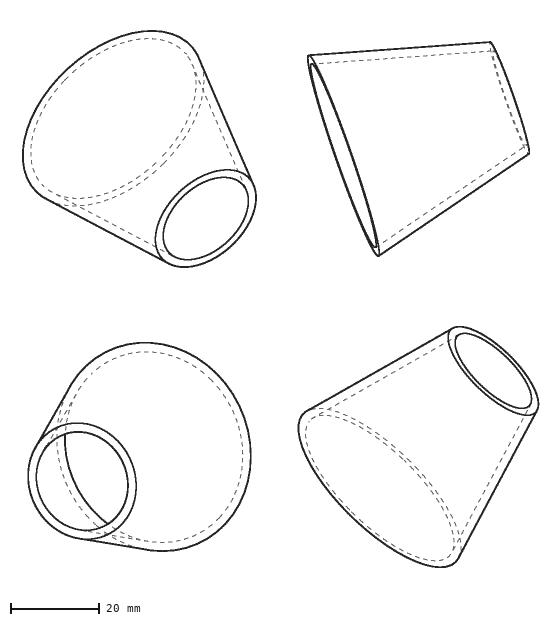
import cadquery as cq

length = 40.0
large_diameter = 48.3
small_diameter = 26.9
wall = 2.1

large_radius = large_diameter / 2
small_radius = small_diameter / 2

wall_section = cq.Workplane("XY").polyline([
    (0, large_radius - wall),
    (0, large_radius),
    (length, small_radius),
    (length, small_radius - wall),
]).close()

result = wall_section.revolve(360, (0, 0, 0), (1, 0, 0))